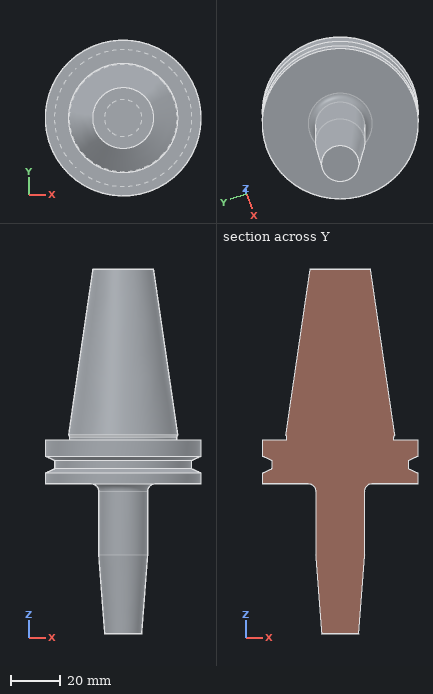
import cadquery as cq

total_height = 148.4
flange_bottom = 61.0
flange_height = 18.0
flange_top = flange_bottom + flange_height
neck_top = 32.0

tip_radius = 15.1 / 2
shank_radius = 20.0 / 2
flange_radius = 63.5 / 2
groove_radius = 55.8 / 2
collar_radius = 43.8 / 2
taper_large_radius = 44.5 / 2
taper_small_radius = 24.8 / 2

fillet_radius = 3.0
lower_rim_height = 4.5
groove_floor_height = 3.3
chamfer_height = 1.8
groove_bottom = flange_bottom + lower_rim_height + chamfer_height
groove_top = groove_bottom + groove_floor_height
collar_height = 1.2
bevel_height = 0.9
taper_bottom = flange_top + collar_height + bevel_height

profile = (
    cq.Workplane("XZ")
    .lineTo(tip_radius, 0)
    .lineTo(shank_radius, neck_top)
    .lineTo(shank_radius, flange_bottom - fillet_radius)
    .radiusArc((shank_radius + fillet_radius, flange_bottom), fillet_radius)
    .lineTo(flange_radius, flange_bottom)
    .lineTo(flange_radius, groove_bottom - chamfer_height)
    .lineTo(groove_radius, groove_bottom)
    .lineTo(groove_radius, groove_top)
    .lineTo(flange_radius, groove_top + chamfer_height)
    .lineTo(flange_radius, flange_top)
    .lineTo(collar_radius, flange_top)
    .lineTo(collar_radius, flange_top + collar_height)
    .lineTo(taper_large_radius, taper_bottom)
    .lineTo(taper_small_radius, total_height)
    .lineTo(0, total_height)
    .close()
)

result = profile.revolve(360, (0, 0, 0), (0, 1, 0))